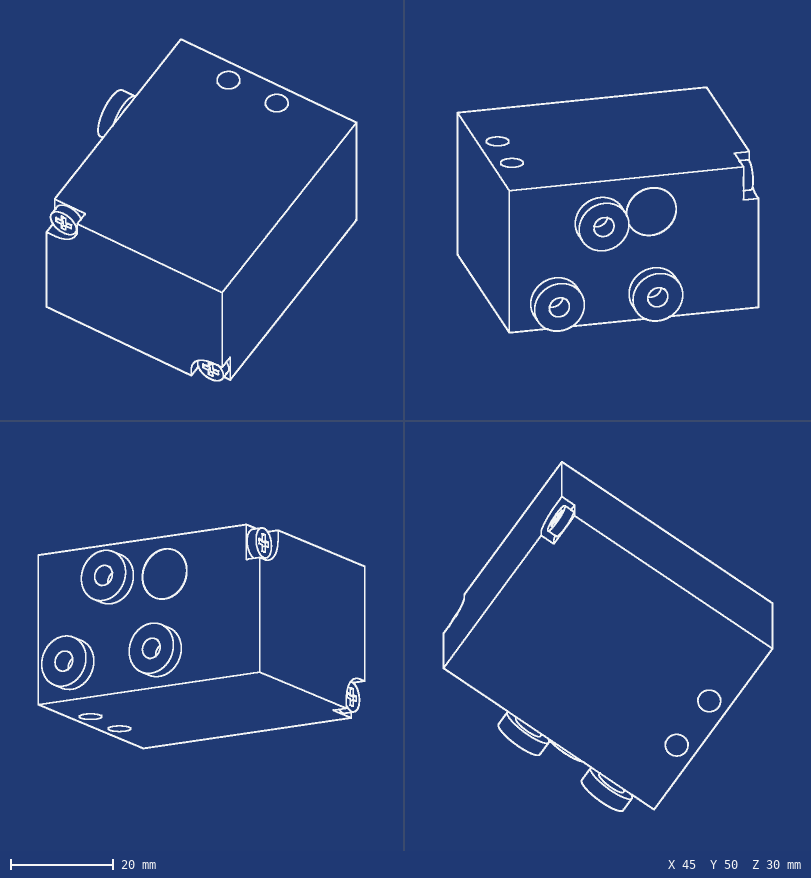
import cadquery as cq

BLOCK_X = 40.0
BLOCK_Y = 50.0
BLOCK_Z = 30.0

FLANGE_DIAMETER = 10.0
FLANGE_THICKNESS = 3.0
STEM_DIAMETER = 5.9
STEM_LENGTH = 2.0
BORE_DIAMETER = 4.0
PORT_LENGTH = STEM_LENGTH + FLANGE_THICKNESS
LOW_ROW_Z = 6.5
HIGH_ROW_Z = 22.5
NEAR_PORT_Y = 21.5
PORT_CENTERS = [(NEAR_PORT_Y, LOW_ROW_Z), (41.25, LOW_ROW_Z), (32.3, HIGH_ROW_Z)]

SEAT_DIAMETER = FLANGE_DIAMETER
SEAT_DEPTH = 0.15
SEAT_CENTER = (NEAR_PORT_Y, HIGH_ROW_Z)

MOUNT_DIAMETER = 4.4
MOUNT_X = [13.25, 24.25]
MOUNT_Y = BLOCK_Y - 3.95

POCKET_SIZE = 7.0
POCKET_DEPTH = 3.0
POCKET_RADIUS = 5.0
SCREW_INSET = 3.25
HEAD_DIAMETER = 5.9
HEAD_HEIGHT = 2.0
CROSS_LENGTH = 3.5
CROSS_WIDTH = 1.0
CROSS_DEPTH = 0.75


def disc_on_port_face(center, diameter, start_x, length):
    """Cylinder along X, from start_x towards +X, centred at (Y, Z)."""
    y, z = center
    return cq.Workplane("YZ", origin=(start_x, y, z)).circle(diameter / 2).extrude(length)


def port(center):
    """Stem and flange standing out of the port face, bored to that face."""
    stem = disc_on_port_face(center, STEM_DIAMETER, -STEM_LENGTH, STEM_LENGTH)
    flange = disc_on_port_face(center, FLANGE_DIAMETER, -PORT_LENGTH, FLANGE_THICKNESS)
    bore = disc_on_port_face(center, BORE_DIAMETER, -PORT_LENGTH, PORT_LENGTH)
    return stem.union(flange).cut(bore)


def box_from_front(size_x, size_z, front_y, depth):
    """Box running from front_y towards +Y, centred on the Y axis."""
    return cq.Workplane("XY").box(size_x, depth, size_z).translate((0, front_y + depth / 2, 0))


def corner_pocket():
    """Pocket at the upper left corner of the screw face, rounded at its inner corner."""
    pocket = box_from_front(POCKET_SIZE, POCKET_SIZE, 0, POCKET_DEPTH)
    pocket = pocket.edges("|Y and >X and <Z").fillet(POCKET_RADIUS)
    return pocket.translate((POCKET_SIZE / 2, 0, BLOCK_Z - POCKET_SIZE / 2))


def corner_screw():
    """Screw head standing on the floor of the upper left pocket."""
    head_front = POCKET_DEPTH - HEAD_HEIGHT
    head = cq.Workplane("XZ", origin=(0, POCKET_DEPTH, 0)).circle(HEAD_DIAMETER / 2).extrude(HEAD_HEIGHT)
    head = head.cut(box_from_front(CROSS_LENGTH, CROSS_WIDTH, head_front, CROSS_DEPTH))
    head = head.cut(box_from_front(CROSS_WIDTH, CROSS_LENGTH, head_front, CROSS_DEPTH))
    return head.translate((SCREW_INSET, 0, BLOCK_Z - SCREW_INSET))


def opposite_corner(shape):
    """Copy of shape turned half a turn about the block's centre line along Y."""
    center = (BLOCK_X / 2, 0, BLOCK_Z / 2)
    axis_end = (BLOCK_X / 2, 1, BLOCK_Z / 2)
    return shape.rotate(center, axis_end, 180)


result = cq.Workplane("XY").box(BLOCK_X, BLOCK_Y, BLOCK_Z, centered=False)

for mount_x in MOUNT_X:
    mount_hole = cq.Workplane("XY", origin=(mount_x, MOUNT_Y, 0)).circle(MOUNT_DIAMETER / 2)
    result = result.cut(mount_hole.extrude(BLOCK_Z))

result = result.cut(disc_on_port_face(SEAT_CENTER, SEAT_DIAMETER, 0, SEAT_DEPTH))

for port_center in PORT_CENTERS:
    result = result.union(port(port_center))

pocket = corner_pocket()
screw = corner_screw()
result = result.cut(pocket).cut(opposite_corner(pocket))
result = result.union(screw).union(opposite_corner(screw))